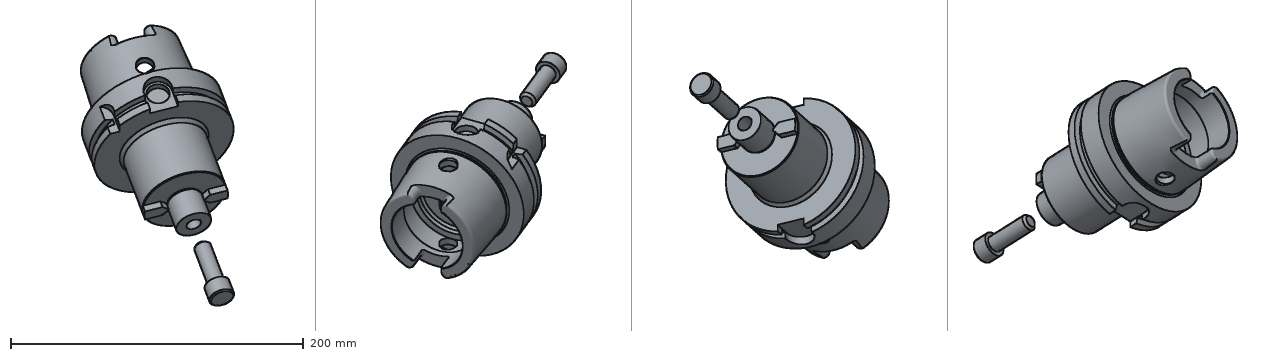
import cadquery as cq
import math


shank_length = 50.0
shank_front_radius = 35.6
taper_slope = 1 / 20
front_round = 1.8
relief_width = 2.6
relief_chamfer = 0.6
relief_radius = 37.7
flange_root_length = 0.6
flange_root_rise = 1.4

flange_radius = 50.0
flange_width = 29.0
groove_center = 20.0
groove_floor_radius = 46.0
groove_mouth_half = 3.1
groove_floor_half = 2.0

neck_radius = 30.0
neck_root_radius = 32.0
neck_root_length = 3.0
neck_end = 75.0
neck_edge_chamfer = 0.6
pilot_radius = 12.7
pilot_tip_radius = 12.5
pilot_relief_radius = 12.0
pilot_relief_width = 1.5
pilot_relief_bevel = pilot_radius - pilot_relief_radius
pilot_lead_length = 1.0
pilot_end = 97.0

bore_radius = 26.5
bore_mouth_radius = 26.9
bore_lip_length = 20.0
clamp_radius = 31.5
clamp_chamber_end = -8.6
bore_floor = -3.0
bore_floor_chamfer = 1.8

collar_radius = 12.0
collar_chamfer = 1.0
collar_face = -6.0
tube_radius = 7.8
tube_tip_radius = 6.25
tube_tip = -15.4
tube_tip_length = 2.5
through_hole_diameter = 10.5

drive_half_width = 10.0
drive_corner_radius = 5.0
drive_corner_height = 27.2
drive_depth_top = 10.0
drive_depth_bottom = 15.0
drive_floor_round = 1.7
drive_mouth_round = 1.5
edge_margin = 1.0

access_diameter = 12.5
access_x = -15.0
access_sink_height = 36.6
access_sink_depth = 1.5

slot_radius = 10.0
slot_center_x = 15.0
slot_floor_height = 44.0
chip_hole_diameter = 16.0
chip_hole_depth = 5.0
notch_offset = 31.7

key_width = 9.5
key_height = 5.0
key_shoulder = 17.1

screw_start = 115.0
screw_radius = 6.0
screw_tip_radius = 4.2
screw_tip_length = 2.0
screw_shank_length = 35.0
screw_head_radius = 9.0
screw_head_length = 12.0
screw_head_chamfer = 1.0


def turned(sketch):
    """Revolve a closed half profile, drawn in XY, about the X axis."""
    return sketch.close().revolve(360, (0, 0, 0), (1, 0, 0))


def outer_form():
    tip = -shank_length
    shank_end_radius = shank_front_radius + taper_slope * (shank_length - relief_width)
    mid = front_round * (1 - math.sqrt(0.5))
    return turned(
        cq.Workplane("XY")
        .moveTo(tip, 0)
        .lineTo(tip, shank_front_radius - front_round)
        .threePointArc((tip + mid, shank_front_radius - mid), (tip + front_round, shank_front_radius))
        .lineTo(-relief_width, shank_end_radius)
        .lineTo(-relief_width + relief_chamfer, relief_radius)
        .lineTo(-flange_root_length, relief_radius)
        .lineTo(0, relief_radius + flange_root_rise)
        .lineTo(0, flange_radius)
        .lineTo(groove_center - groove_mouth_half, flange_radius)
        .lineTo(groove_center - groove_floor_half, groove_floor_radius)
        .lineTo(groove_center + groove_floor_half, groove_floor_radius)
        .lineTo(groove_center + groove_mouth_half, flange_radius)
        .lineTo(flange_width, flange_radius)
        .lineTo(flange_width, neck_root_radius)
        .lineTo(flange_width + neck_root_length, neck_radius)
        .lineTo(neck_end - neck_edge_chamfer, neck_radius)
        .lineTo(neck_end, neck_radius - neck_edge_chamfer)
        .lineTo(neck_end, pilot_relief_radius)
        .lineTo(neck_end + pilot_relief_width - pilot_relief_bevel, pilot_relief_radius)
        .lineTo(neck_end + pilot_relief_width, pilot_radius)
        .lineTo(pilot_end - pilot_lead_length, pilot_radius)
        .lineTo(pilot_end, pilot_tip_radius)
        .lineTo(pilot_end, 0)
    )


def shank_cavity():
    """Bore with a wider clamping chamber, leaving the coolant tube standing on its floor."""
    mouth = -shank_length
    lip_end = mouth + bore_lip_length
    return turned(
        cq.Workplane("XY")
        .moveTo(mouth, 0)
        .lineTo(mouth, bore_mouth_radius)
        .lineTo(mouth + bore_mouth_radius - bore_radius, bore_radius)
        .lineTo(lip_end, bore_radius)
        .lineTo(lip_end, clamp_radius)
        .lineTo(clamp_chamber_end, clamp_radius)
        .lineTo(clamp_chamber_end, bore_radius)
        .lineTo(bore_floor - bore_floor_chamfer, bore_radius)
        .lineTo(bore_floor, bore_radius - bore_floor_chamfer)
        .lineTo(bore_floor, collar_radius)
        .lineTo(collar_face + collar_chamfer, collar_radius)
        .lineTo(collar_face, collar_radius - collar_chamfer)
        .lineTo(collar_face, tube_radius)
        .lineTo(tube_tip + tube_tip_length, tube_radius)
        .lineTo(tube_tip, tube_tip_radius)
        .lineTo(tube_tip, 0)
    )


def drive_slot(depth):
    """Cutter for the upper driving slot.

    The slot walls flare round the corners of the rim. The cutter is what is left of a
    plain block after a template with the rounded slot has been taken away.
    """
    flare = drive_half_width + drive_corner_radius
    flare_height = drive_corner_height + drive_corner_radius
    mid = drive_corner_radius * math.sqrt(0.5)
    profile = (
        cq.Workplane("YZ", origin=(-shank_length, 0, 0))
        .moveTo(-drive_half_width, 0)
        .lineTo(-drive_half_width, drive_corner_height)
        .threePointArc((mid - flare, drive_corner_height + mid), (-flare, flare_height))
        .lineTo(-flange_radius, flare_height)
        .lineTo(-flange_radius, flange_radius)
        .lineTo(flange_radius, flange_radius)
        .lineTo(flange_radius, flare_height)
        .lineTo(flare, flare_height)
        .threePointArc((flare - mid, drive_corner_height + mid), (drive_half_width, drive_corner_height))
        .lineTo(drive_half_width, 0)
        .close()
    )
    walls = cq.selectors.BoxSelector(
        (-shank_length - edge_margin, -flange_radius + edge_margin, edge_margin),
        (-shank_length + depth + edge_margin, flange_radius - edge_margin, flange_radius - edge_margin),
    )
    slot = profile.extrude(depth).faces(">X").edges(walls).fillet(drive_floor_round)
    block = (
        cq.Workplane("YZ", origin=(-shank_length, 0, 0))
        .center(0, flange_radius / 2)
        .rect(2 * flange_radius, flange_radius)
        .extrude(depth)
    )
    template = block.cut(slot).faces("<X").edges(walls).fillet(drive_mouth_round)
    return block.cut(template)


def access_hole():
    """Cutter for one upward radial hole, countersunk where it leaves the taper."""
    radius = access_diameter / 2
    wall = cq.Workplane("XY", origin=(access_x, 0, bore_radius))
    hole = wall.circle(radius).extrude(access_sink_height + access_sink_depth - bore_radius)
    sink = cq.Solid.makeCone(
        radius,
        radius + access_sink_depth,
        access_sink_depth,
        pnt=cq.Vector(access_x, 0, access_sink_height),
        dir=cq.Vector(0, 0, 1),
    )
    return hole.union(cq.Workplane(sink))


def flange_slot(floor_height):
    """Cutter for an upward facing round ended slot that runs out at the neck side of the flange."""
    run_out = flange_width - slot_center_x
    rise = flange_radius - floor_height
    center = cq.Workplane("XY", origin=(slot_center_x, 0, floor_height))
    round_end = center.circle(slot_radius).extrude(rise)
    straight = center.center(run_out / 2, 0).rect(run_out, 2 * slot_radius).extrude(rise)
    return round_end.union(straight)


def drive_key(side):
    """Key on the neck end with a pointed inner end; side is +1 or -1 along Y."""
    half = key_width / 2
    outline = (
        cq.Workplane("YZ", origin=(neck_end, 0, 0))
        .moveTo(side * (key_shoulder - half), 0)
        .lineTo(side * key_shoulder, half)
        .lineTo(side * flange_radius, half)
        .lineTo(side * flange_radius, -half)
        .lineTo(side * key_shoulder, -half)
        .close()
        .extrude(key_height)
    )
    limit = cq.Workplane("YZ", origin=(neck_end, 0, 0)).circle(neck_radius).extrude(key_height)
    return outline.intersect(limit)


def turned_over(cutter, angle):
    """Turn a cutter about the holder axis."""
    return cutter.rotate((0, 0, 0), (1, 0, 0), angle)


def make_holder():
    body = outer_form()
    for side in (1, -1):
        body = body.union(drive_key(side))

    body = body.cut(shank_cavity())
    shank_end = cq.Workplane("YZ", origin=(-shank_length, 0, 0))
    body = body.cut(shank_end.circle(through_hole_diameter / 2).extrude(shank_length + pilot_end))

    for drive_depth, angle in ((drive_depth_top, 0), (drive_depth_bottom, 180)):
        body = body.cut(turned_over(drive_slot(drive_depth), angle))
        body = body.cut(turned_over(access_hole(), angle))
        body = body.cut(turned_over(flange_slot(slot_floor_height), angle))

    chip_floor = cq.Workplane("XY", origin=(slot_center_x, 0, slot_floor_height - chip_hole_depth))
    body = body.cut(chip_floor.circle(chip_hole_diameter / 2).extrude(chip_hole_depth))

    notch = flange_slot(notch_offset).translate((0, -notch_offset - slot_radius, 0))
    return body.cut(notch)


def make_screw():
    head_start = screw_start + screw_shank_length
    head_end = head_start + screw_head_length
    return turned(
        cq.Workplane("XY")
        .moveTo(screw_start, 0)
        .lineTo(screw_start, screw_tip_radius)
        .lineTo(screw_start + screw_tip_length, screw_radius)
        .lineTo(head_start, screw_radius)
        .lineTo(head_start, screw_head_radius)
        .lineTo(head_end - screw_head_chamfer, screw_head_radius)
        .lineTo(head_end, screw_head_radius - screw_head_chamfer)
        .lineTo(head_end, 0)
    )


holder = make_holder()
screw = make_screw()
result = cq.Compound.makeCompound([holder.val(), screw.val()])